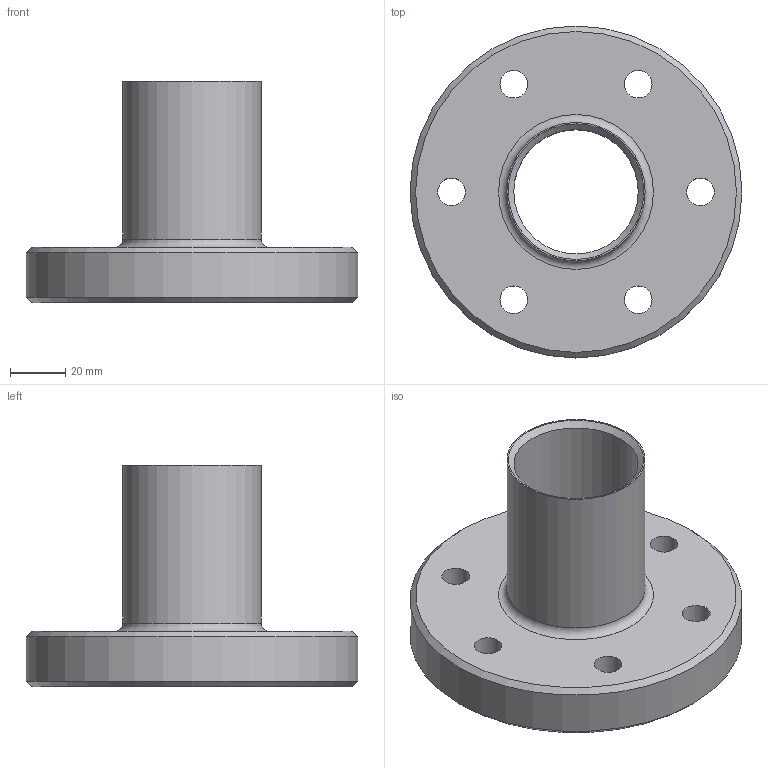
import cadquery as cq

flange_diameter = 120
flange_thickness = 20
flange_chamfer = 2

tube_diameter = 50
bore_diameter = 45
total_height = 80
root_fillet = 3
mouth_chamfer = 2

bolt_hole_count = 6
bolt_hole_diameter = 10
bolt_circle_diameter = 90


def make_flange():
    """Disc resting on Z = 0 with both rims chamfered."""
    disc = cq.Workplane("XY").circle(flange_diameter / 2).extrude(flange_thickness)
    return disc.edges("%CIRCLE").chamfer(flange_chamfer)


def add_tube(body):
    """Round tube standing on the flange, filleted at its root."""
    tube = cq.Workplane("XY").circle(tube_diameter / 2).extrude(total_height)
    joined = body.union(tube)
    flange_top_selector = cq.selectors.NearestToPointSelector((0, 0, flange_thickness))
    root_edge = joined.faces(flange_top_selector).edges(cq.selectors.RadiusNthSelector(0))
    return root_edge.fillet(root_fillet)


def cut_bore(body):
    """Through bore with a chamfer at the tube mouth."""
    bore = cq.Workplane("XY").circle(bore_diameter / 2).extrude(total_height)
    bored = body.cut(bore)
    mouth_edge = bored.faces(">Z").edges(cq.selectors.RadiusNthSelector(0))
    return mouth_edge.chamfer(mouth_chamfer)


def cut_bolt_holes(body):
    """Evenly spaced through holes in the flange, the first one on +X."""
    holes = (
        cq.Workplane("XY")
        .polarArray(bolt_circle_diameter / 2, 0, 360, bolt_hole_count)
        .circle(bolt_hole_diameter / 2)
        .extrude(flange_thickness)
    )
    return body.cut(holes)


flange_with_tube = add_tube(make_flange())
result = cut_bolt_holes(cut_bore(flange_with_tube))